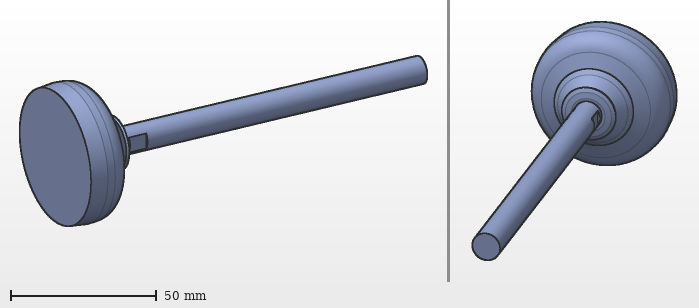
import cadquery as cq
import math

total_length = 145.0
foot_diameter = 50.0
base_radius = 24.4

widest_level = 6.2
shoulder_start_level = 9.3
shoulder_end_level = 15.8
flare_level = 18.0
neck_level = 19.5
foot_top_level = 22.9

widest_radius = foot_diameter / 2
shoulder_start_radius = 24.8
shoulder_end_radius = 19.6
flare_radius = 14.2
neck_radius = 12.6
foot_top_radius = 9.1

shoulder_bulge = 1.3

stem_radius = 5.0
collar_radius = 9.7
collar_rim_level = 23.8
collar_top_radius = 8.3
collar_top_level = 24.5
collar_step_radius = 6.1
collar_step_level = 25.0

flat_start_level = 26.8
flat_length = 7.0
flat_spacing = 8.3


def bulged_midpoint(start, end, bulge):
    """Point outside the middle of a chord that runs inward and up from start to end."""
    across = start[0] - end[0]
    along = end[1] - start[1]
    chord = math.hypot(across, along)
    return (
        (start[0] + end[0]) / 2 + bulge * along / chord,
        (start[1] + end[1]) / 2 + bulge * across / chord,
    )


def revolve_about_y(profile):
    """Turn a closed XY half-profile about the Y axis."""
    return profile.close().revolve(360, (0, 0), (0, 1))


def make_foot():
    """Solid bell-shaped foot with a flat base and top."""
    shoulder_start = (shoulder_start_radius, shoulder_start_level)
    shoulder_end = (shoulder_end_radius, shoulder_end_level)
    shoulder_middle = bulged_midpoint(shoulder_start, shoulder_end, shoulder_bulge)
    profile = (
        cq.Workplane("XY")
        .lineTo(base_radius, 0)
        .lineTo(widest_radius, widest_level)
        .lineTo(*shoulder_start)
        .threePointArc(shoulder_middle, shoulder_end)
        .lineTo(flare_radius, flare_level)
        .lineTo(neck_radius, neck_level)
        .lineTo(foot_top_radius, foot_top_level)
        .lineTo(0, foot_top_level)
    )
    return revolve_about_y(profile)


def cut_wrench_flats(stem):
    """Trim two opposite sides of the stem to the flat spacing."""
    flat_middle_level = flat_start_level + flat_length / 2
    for side in (-1, 1):
        cutter = cq.Workplane("XY").box(stem_radius, flat_length, 2 * stem_radius)
        cutter_x = side * (flat_spacing + stem_radius) / 2
        stem = stem.cut(cutter.translate((cutter_x, flat_middle_level, 0)))
    return stem


def make_stem():
    """Round stem whose stepped collar rests on the foot."""
    profile = (
        cq.Workplane("XY")
        .moveTo(0, foot_top_level)
        .lineTo(foot_top_radius, foot_top_level)
        .lineTo(collar_radius, collar_rim_level)
        .lineTo(collar_top_radius, collar_top_level)
        .lineTo(collar_step_radius, collar_step_level)
        .lineTo(stem_radius, collar_step_level)
        .lineTo(stem_radius, total_length)
        .lineTo(0, total_length)
    )
    return cut_wrench_flats(revolve_about_y(profile))


foot = make_foot()
stem = make_stem()
result = cq.Compound.makeCompound([foot.val(), stem.val()])